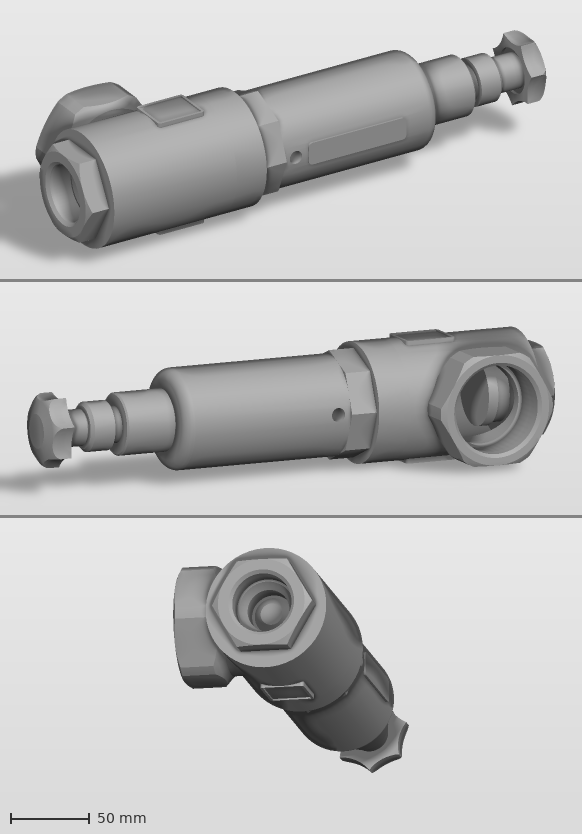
import cadquery as cq
import math


body_start = 14.5
body_end = 105.5
flange_end = 127.5
bonnet_end = 144.5
sleeve_end = 259.2
cap_start = 261.0
cap_end = 294.0
nut_start = 300.7
nut_end = 317.0
knob_start = 332.8
overall_length = 348.5

body_radius = 39.0
inlet_flats = 56.0
inlet_bore_radius = 19.0
inlet_bore_depth = 17.5
bore_chamfer = 2.0
cavity_radius = 28.5
cavity_floor = 28.0
seat_top = 36.5
seat_radius = 20.2
seat_bore_radius = 13.5
seat_cone_radius = 17.8
seat_cone_height = 5.2
hex_chamfer_angle = math.radians(30)

outlet_reach = 61.0
outlet_y = 54.7
outlet_flats = 71.0
outlet_corner_radius = 39.0
outlet_hex_length = 30.3
outlet_neck_radius = 32.0
outlet_bore_radius = 28.5
outlet_bore_depth = 26.0
outlet_throat_radius = 26.0

badge_height = 39.55
badge_width = 28.2
badge_length = 34.0
badge_centre_y = 79.8
badge_corner = 2.0
badge_rim = 1.7
badge_recess = 1.0
badge_root = 28.0

disc_radius = 22.0
disc_thickness = 6.5
nose_base_radius = 12.0
nose_tip_radius = 7.0
nose_length = 5.2

octagon_corner_radius = 35.35
octagon_sides = 8
sleeve_radius = 32.8
sleeve_fillet = 6.5
vent_radius = 4.5
vent_y = 153.0
label_reach = 33.5
label_width = 15.5
label_start = 162.0
label_end = 234.0
label_corner = 2.8

cap_radius = 20.2
cap_neck_radius = 17.0
cap_chamfer = 1.0
spindle_radius = 12.0
undercut_radius = 10.8
undercut_width = 1.0
nut_radius = 16.0
nut_chamfer = 2.0
knob_radius = 24.55
knob_recess_radius = 15.5
knob_recess_depth = 2.0
knob_crown_radius = 11.0
knob_shoulder_radius = 19.5
knob_shoulder_drop = 2.5
knob_side_drop = 8.0
flute_count = 7
flute_radius = 24.5
flute_floor_radius = 19.7


def cylinder(radius, start, end):
    """Cylinder on the valve axis between two Y stations."""
    return cq.Workplane("XZ").workplane(offset=-start).circle(radius).extrude(start - end)


def revolve_on_axis(profile):
    """Solid of revolution about Y from a closed XY outline."""
    return profile.close().revolve(360, (0, 0, 0), (0, 1, 0))


def chamfer_envelope(face_radius, chamfer_angle, corner_radius, length):
    """Cylinder starting at Y = 0 whose first end is coned down to face_radius."""
    cone_height = (corner_radius - face_radius) * math.tan(chamfer_angle)
    return revolve_on_axis(
        cq.Workplane("XY")
        .lineTo(face_radius, 0)
        .lineTo(corner_radius, cone_height)
        .lineTo(corner_radius, length)
        .lineTo(0, length)
    )


def make_inlet_hex():
    corner_diameter = inlet_flats / math.cos(math.pi / 6)
    hexagon = cq.Workplane("XZ").polygon(6, corner_diameter).extrude(-body_start)
    envelope = chamfer_envelope(inlet_flats / 2, hex_chamfer_angle, corner_diameter / 2, body_start)
    return hexagon.intersect(envelope)


def outlet_workplane():
    """Plane at the outlet mouth, with its normal toward +X."""
    return cq.Workplane("YZ", origin=(-outlet_reach, outlet_y, 0))


def make_outlet():
    corner_diameter = outlet_flats / math.cos(math.pi / 6)
    hexagon = outlet_workplane().polygon(6, corner_diameter).extrude(outlet_hex_length)
    mouth_cone = (outlet_corner_radius - outlet_flats / 2) * math.tan(hex_chamfer_angle)
    inner_cone = outlet_corner_radius - outlet_neck_radius
    envelope = (
        cq.Workplane("XY", origin=(-outlet_reach, outlet_y, 0))
        .lineTo(0, outlet_flats / 2)
        .lineTo(mouth_cone, outlet_corner_radius)
        .lineTo(outlet_hex_length - inner_cone, outlet_corner_radius)
        .lineTo(outlet_hex_length, outlet_neck_radius)
        .lineTo(outlet_hex_length, 0)
        .close()
        .revolve(360, (0, 0, 0), (1, 0, 0))
    )
    neck = outlet_workplane().circle(outlet_neck_radius).extrude(outlet_reach)
    return hexagon.intersect(envelope).union(neck)


def make_outlet_bore():
    throat = outlet_workplane().circle(outlet_throat_radius).extrude(outlet_reach)
    bore = outlet_workplane().circle(outlet_bore_radius).extrude(outlet_bore_depth)
    mouth = (
        outlet_workplane()
        .circle(outlet_bore_radius + bore_chamfer)
        .workplane(offset=bore_chamfer)
        .circle(outlet_bore_radius)
        .loft()
    )
    return throat.union(bore).union(mouth)


def make_inlet_passage():
    """Inlet bore, conical step and seat hole."""
    return revolve_on_axis(
        cq.Workplane("XY")
        .lineTo(inlet_bore_radius + bore_chamfer, 0)
        .lineTo(inlet_bore_radius, bore_chamfer)
        .lineTo(inlet_bore_radius, inlet_bore_depth)
        .lineTo(seat_cone_radius, inlet_bore_depth)
        .lineTo(seat_bore_radius, inlet_bore_depth + seat_cone_height)
        .lineTo(seat_bore_radius, seat_top)
        .lineTo(0, seat_top)
    )


def make_badge():
    """Rounded frame with a shallow flat recess, standing on top of the housing."""
    base = cq.Workplane("XY", origin=(0, badge_centre_y, badge_root))
    plate = base.rect(badge_width, badge_length).extrude(badge_height - badge_root)
    plate = plate.edges("|Z").fillet(badge_corner)
    recess = (
        cq.Workplane("XY", origin=(0, badge_centre_y, badge_height - badge_recess))
        .rect(badge_width - 2 * badge_rim, badge_length - 2 * badge_rim)
        .extrude(badge_recess)
    )
    return plate, recess


def make_housing():
    housing = cylinder(body_radius, body_start, body_end)
    housing = housing.union(make_inlet_hex()).union(make_outlet())
    plate, recess = make_badge()
    for mirrored in (False, True):
        housing = housing.union(plate.mirror("XY") if mirrored else plate)
        housing = housing.cut(recess.mirror("XY") if mirrored else recess)
    cavity = cylinder(cavity_radius, cavity_floor, body_end)
    seat = cylinder(seat_radius, cavity_floor, seat_top)
    housing = housing.cut(cavity).cut(make_outlet_bore()).union(seat)
    return housing.cut(make_inlet_passage())


def make_disc():
    """Flat valve disc on the seat, with a conical nose reaching into the seat hole."""
    return revolve_on_axis(
        cq.Workplane("XY", origin=(0, 0, 0))
        .moveTo(0, seat_top - nose_length)
        .lineTo(nose_tip_radius, seat_top - nose_length)
        .lineTo(nose_base_radius, seat_top)
        .lineTo(disc_radius, seat_top)
        .lineTo(disc_radius, seat_top + disc_thickness)
        .lineTo(0, seat_top + disc_thickness)
    )


def make_bonnet():
    flange = cylinder(body_radius, body_end, flange_end)
    octagon = (
        cq.Workplane("XZ")
        .workplane(offset=-flange_end)
        .polygon(octagon_sides, 2 * octagon_corner_radius)
        .extrude(flange_end - bonnet_end)
    )
    return flange.union(octagon)


def make_sleeve():
    sleeve = cylinder(sleeve_radius, bonnet_end, sleeve_end).faces(">Y").edges().fillet(sleeve_fillet)
    label = (
        cq.Workplane("YZ")
        .center((label_start + label_end) / 2, 0)
        .rect(label_end - label_start, label_width)
        .extrude(label_reach)
        .edges("|X")
        .fillet(label_corner)
    )
    vent = cq.Workplane("YZ").center(vent_y, 0).circle(vent_radius).extrude(sleeve_radius, both=True)
    return sleeve.union(label).cut(vent)


def make_cap():
    head = cylinder(cap_radius, cap_start, cap_end).faces(">Y").edges().chamfer(cap_chamfer)
    return head.union(cylinder(cap_neck_radius, sleeve_end, cap_start))


def make_spindle():
    rod = cylinder(spindle_radius, cap_end, knob_start + knob_recess_depth)
    undercut_end = nut_end + undercut_width
    undercut = cylinder(spindle_radius, nut_end, undercut_end)
    undercut = undercut.cut(cylinder(undercut_radius, nut_end, undercut_end))
    return rod.cut(undercut)


def make_lock_nut():
    nut = cylinder(nut_radius, nut_start, nut_end).faces(">Y").edges().chamfer(nut_chamfer)
    return nut.cut(cylinder(spindle_radius, nut_start, nut_end))


def make_knob():
    """Domed hand knob with concave finger flutes and a recess around the spindle."""
    shoulder_y = overall_length - knob_shoulder_drop
    side_y = overall_length - knob_side_drop
    shoulder_arc_mid = (22.82, overall_length - 4.5)
    knob = revolve_on_axis(
        cq.Workplane("XY")
        .moveTo(0, knob_start + knob_recess_depth)
        .lineTo(knob_recess_radius, knob_start + knob_recess_depth)
        .lineTo(knob_recess_radius, knob_start)
        .lineTo(knob_radius, knob_start)
        .lineTo(knob_radius, side_y)
        .threePointArc(shoulder_arc_mid, (knob_shoulder_radius, shoulder_y))
        .lineTo(knob_crown_radius, overall_length)
        .lineTo(0, overall_length)
    )
    flute_distance = flute_floor_radius + flute_radius
    for index in range(flute_count):
        angle = math.pi / 2 + 2 * math.pi * index / flute_count
        flute = cylinder(flute_radius, knob_start, overall_length).translate(
            (flute_distance * math.cos(angle), 0, flute_distance * math.sin(angle))
        )
        knob = knob.cut(flute)
    return knob


housing = make_housing()
disc = make_disc()
bonnet = make_bonnet()
sleeve = make_sleeve()
cap = make_cap()
spindle = make_spindle()
lock_nut = make_lock_nut()
knob = make_knob()

result = cq.Compound.makeCompound(
    [
        housing.val(),
        disc.val(),
        bonnet.val(),
        sleeve.val(),
        cap.val(),
        spindle.val(),
        lock_nut.val(),
        knob.val(),
    ]
)